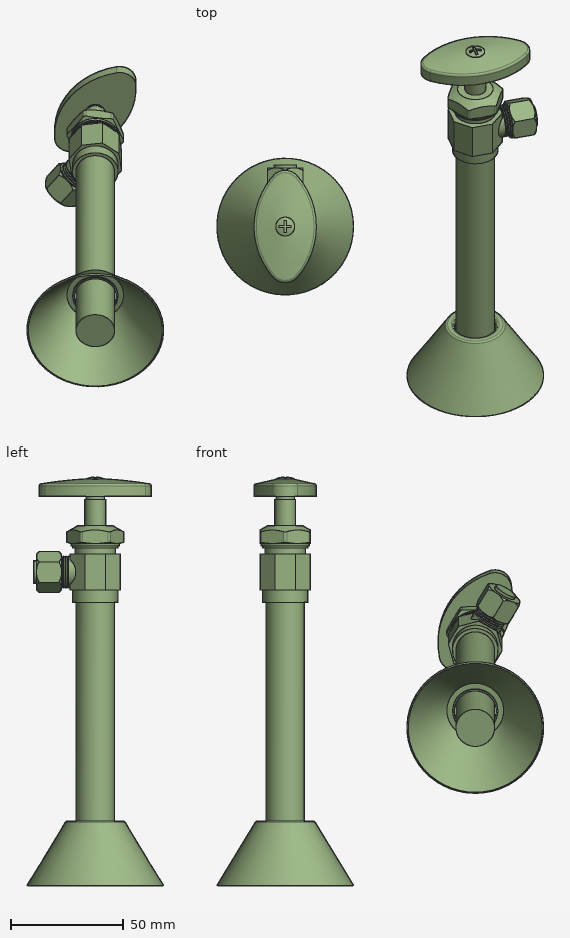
import cadquery as cq
import math

SCREW_APEX = 182.33

BELL_BASE_RADIUS = 60.96 / 2
BELL_HEIGHT = 29.0
BELL_TOP_RADIUS = 13.05
BELL_SHOULDER_ROUND = 1.2
BELL_LIP_ROUND = 1.3
BELL_LIP_DEPTH = 1.6
BELL_HOLE_RADIUS = 9.3
BELL_WALL = 0.76

TUBE_RADIUS = 8.6
COLLAR_RADIUS = 10.15
COLLAR_BOTTOM = 126.4

BODY_ACROSS_FLATS = 22.4
BODY_BOTTOM = 131.9
BODY_TOP = 148.0
BODY_SIDES = 8
NECK_RADIUS = 9.1

NUT_SIDES = 6

BONNET_ACROSS_FLATS = 22.4
BONNET_EDGE_ROUND = 1.4
BONNET_BOTTOM = 150.6
BONNET_RING_RADIUS = 10.1
BONNET_RING_HEIGHT = 0.9
BONNET_SHOULDER_BOTTOM_RADIUS = 10.7
BONNET_SHOULDER_TOP_RADIUS = 10.9
BONNET_SHOULDER_TOP = 152.6
BONNET_LOWER_CORNER = 153.3
BONNET_UPPER_CORNER = 157.7
BONNET_TOP = 160.6
BONNET_TOP_RADIUS = 7.9

STEM_RADIUS = 4.7
STEM_TOP = 172.3
HUB_RADIUS = 4.2

HANDLE_BOTTOM = 173.7
HANDLE_EDGE_TOP = 179.3
HANDLE_HALF_WIDTH = 13.9
HANDLE_HALF_LENGTH = 25.0
HANDLE_END_RADIUS = 7.3
HANDLE_EDGE_ROUND = 1.0
DOME_TOP = 181.5

SCREW_RADIUS = 4.2
SCREW_EDGE_TOP = 181.5
CROSS_LENGTH = 5.3
CROSS_WIDTH = 1.0
CROSS_DEPTH = 0.7

OUTLET_Z = (BODY_BOTTOM + BODY_TOP) / 2
THREAD_RADIUS = 7.14
THREAD_PITCH = 1.058
THREAD_DEPTH = 0.4
THREAD_TURNS = 3
OUTLET_NUT_ACROSS_FLATS = 15.875
OUTLET_NUT_START = 15.1
OUTLET_NUT_END = 26.1
OUTLET_NUT_CHAMFER = 1.1
FERRULE_RADIUS = 5.1
FERRULE_END = 27.4


def corner_diameter(across_flats, sides):
    return across_flats / math.cos(math.pi / sides)


def cylinder(radius, bottom, top):
    return cq.Workplane("XY").workplane(offset=bottom).circle(radius).extrude(top - bottom)


def prism(across_flats, sides, bottom, top):
    """Upright regular prism with one flat facing +X."""
    outline = cq.Workplane("XY").polygon(sides, corner_diameter(across_flats, sides))
    solid = outline.extrude(top - bottom).translate((0, 0, bottom))
    return solid.rotate((0, 0, 0), (0, 0, 1), 180 / sides)


def revolved(points):
    """Solid of revolution about Z from (radius, height) points."""
    return cq.Workplane("XZ").polyline(points).close().revolve(360, (0, 0), (0, 1))


def make_escutcheon():
    wall_angle = math.atan2(BELL_BASE_RADIUS - BELL_TOP_RADIUS, BELL_HEIGHT)
    rim_rise = BELL_WALL * math.sin(wall_angle)
    rim_inset = BELL_WALL * math.cos(wall_angle)
    slope = (BELL_BASE_RADIUS - BELL_TOP_RADIUS) / (BELL_HEIGHT - rim_rise)
    rim_inner_radius = BELL_BASE_RADIUS - rim_inset
    ceiling = BELL_HEIGHT - BELL_WALL
    lip_bottom = BELL_HEIGHT - BELL_LIP_DEPTH
    sheet = revolved([
        (rim_inner_radius, 0),
        (BELL_BASE_RADIUS, rim_rise),
        (BELL_TOP_RADIUS, BELL_HEIGHT),
        (BELL_HOLE_RADIUS, BELL_HEIGHT),
        (BELL_HOLE_RADIUS, lip_bottom),
        (BELL_HOLE_RADIUS + BELL_WALL, lip_bottom),
        (BELL_HOLE_RADIUS + BELL_WALL, ceiling),
        (rim_inner_radius - slope * ceiling, ceiling),
    ])
    sheet = sheet.faces(">Z").edges(cq.selectors.RadiusNthSelector(-1)).fillet(BELL_SHOULDER_ROUND)
    return sheet.faces(">Z").edges(cq.selectors.RadiusNthSelector(0)).fillet(BELL_LIP_ROUND)


def make_tube():
    return cylinder(TUBE_RADIUS, 0, COLLAR_BOTTOM)


def make_bonnet_nut():
    corner_radius = corner_diameter(BONNET_ACROSS_FLATS, NUT_SIDES) / 2
    turned = revolved([
        (0, BONNET_BOTTOM),
        (BONNET_RING_RADIUS, BONNET_BOTTOM),
        (BONNET_RING_RADIUS, BONNET_BOTTOM + BONNET_RING_HEIGHT),
        (BONNET_SHOULDER_BOTTOM_RADIUS, BONNET_BOTTOM + BONNET_RING_HEIGHT),
        (BONNET_SHOULDER_TOP_RADIUS, BONNET_SHOULDER_TOP),
        (corner_radius, BONNET_LOWER_CORNER),
        (corner_radius, BONNET_UPPER_CORNER),
        (BONNET_TOP_RADIUS, BONNET_TOP),
        (0, BONNET_TOP),
    ])
    hexagon = prism(BONNET_ACROSS_FLATS, NUT_SIDES, BONNET_BOTTOM, BONNET_TOP)
    hexagon = hexagon.edges("|Z").fillet(BONNET_EDGE_ROUND)
    return turned.intersect(hexagon)


def make_handle():
    end_centre = HANDLE_HALF_LENGTH - HANDLE_END_RADIUS
    width_beyond_end = HANDLE_HALF_WIDTH - HANDLE_END_RADIUS
    side_radius = HANDLE_END_RADIUS + (end_centre**2 + width_beyond_end**2) / (2 * width_beyond_end)
    tangent_angle = math.asin(end_centre / (side_radius - HANDLE_END_RADIUS))
    joint_x = HANDLE_END_RADIUS * math.cos(tangent_angle)
    joint_y = end_centre + HANDLE_END_RADIUS * math.sin(tangent_angle)
    rim = (
        cq.Workplane("XY")
        .workplane(offset=HANDLE_BOTTOM)
        .moveTo(joint_x, -joint_y)
        .threePointArc((HANDLE_HALF_WIDTH, 0), (joint_x, joint_y))
        .threePointArc((0, HANDLE_HALF_LENGTH), (-joint_x, joint_y))
        .threePointArc((-HANDLE_HALF_WIDTH, 0), (-joint_x, -joint_y))
        .threePointArc((0, -HANDLE_HALF_LENGTH), (joint_x, -joint_y))
        .close()
        .extrude(HANDLE_EDGE_TOP - HANDLE_BOTTOM)
        .faces(">Z")
        .edges()
        .fillet(HANDLE_EDGE_ROUND)
    )
    flat_top = rim.faces(">Z").val()
    half_way_z = DOME_TOP - (DOME_TOP - HANDLE_EDGE_TOP) / 4
    dome_points = [cq.Vector(0, 0, DOME_TOP)]
    for edge in flat_top.Edges():
        for position in (0, 0.5):
            edge_point = edge.positionAt(position)
            dome_points.append(cq.Vector(edge_point.x / 2, edge_point.y / 2, half_way_z))
    dome_skin = cq.Face.makeNSidedSurface(flat_top.Edges(), dome_points)
    dome = cq.Solid.makeSolid(cq.Shell.makeShell([flat_top, dome_skin]))
    return rim.union(cq.Workplane(dome))


def make_screw():
    crown_rise = SCREW_APEX - SCREW_EDGE_TOP
    crown_radius = (SCREW_RADIUS**2 + crown_rise**2) / (2 * crown_rise)
    crown = cq.Workplane("XY").sphere(crown_radius).translate((0, 0, SCREW_APEX - crown_radius))
    head = cylinder(SCREW_RADIUS, HANDLE_EDGE_TOP, SCREW_APEX).intersect(crown)
    for length_x, length_y in ((CROSS_LENGTH, CROSS_WIDTH), (CROSS_WIDTH, CROSS_LENGTH)):
        slot = cq.Workplane("XY").box(length_x, length_y, 2 * CROSS_DEPTH)
        head = head.cut(slot.translate((0, 0, SCREW_APEX)))
    return head


def make_outlet():
    """Outlet built upright on Z, then laid over to point along +Y."""
    outlet = cylinder(THREAD_RADIUS, 0, OUTLET_NUT_START)
    for turn in range(THREAD_TURNS):
        groove_end = OUTLET_NUT_START - turn * THREAD_PITCH
        outlet = outlet.cut(revolved([
            (THREAD_RADIUS, groove_end),
            (THREAD_RADIUS - THREAD_DEPTH, groove_end - THREAD_PITCH / 2),
            (THREAD_RADIUS, groove_end - THREAD_PITCH),
        ]))
    nut_corner_radius = corner_diameter(OUTLET_NUT_ACROSS_FLATS, NUT_SIDES) / 2
    nut_face_radius = nut_corner_radius - OUTLET_NUT_CHAMFER
    turned_nut = revolved([
        (0, OUTLET_NUT_START),
        (nut_face_radius, OUTLET_NUT_START),
        (nut_corner_radius, OUTLET_NUT_START + OUTLET_NUT_CHAMFER),
        (nut_corner_radius, OUTLET_NUT_END - OUTLET_NUT_CHAMFER),
        (nut_face_radius, OUTLET_NUT_END),
        (0, OUTLET_NUT_END),
    ])
    hexagon = prism(OUTLET_NUT_ACROSS_FLATS, NUT_SIDES, OUTLET_NUT_START, OUTLET_NUT_END)
    nut = turned_nut.intersect(hexagon)
    ferrule = cylinder(FERRULE_RADIUS, OUTLET_NUT_END, FERRULE_END)
    outlet = outlet.union(nut).union(ferrule)
    return outlet.rotate((0, 0, 0), (1, 0, 0), -90).translate((0, 0, OUTLET_Z))


def make_valve():
    valve = cylinder(COLLAR_RADIUS, COLLAR_BOTTOM, BODY_BOTTOM)
    parts = [
        prism(BODY_ACROSS_FLATS, BODY_SIDES, BODY_BOTTOM, BODY_TOP),
        make_outlet(),
        cylinder(NECK_RADIUS, BODY_TOP, BONNET_BOTTOM),
        make_bonnet_nut(),
        cylinder(STEM_RADIUS, BONNET_TOP, STEM_TOP),
        cylinder(HUB_RADIUS, STEM_TOP, HANDLE_BOTTOM),
        make_handle(),
        make_screw(),
    ]
    for part in parts:
        valve = valve.union(part)
    return valve


escutcheon = make_escutcheon()
tube = make_tube()
valve = make_valve()

result = cq.Compound.makeCompound([escutcheon.val(), tube.val(), valve.val()])